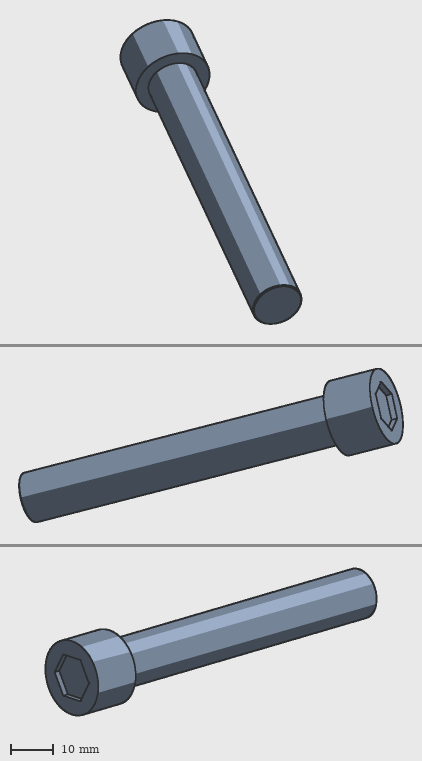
import cadquery as cq
import math

total_length = 92.0
head_diameter = 18.0
head_length = 12.0
shank_diameter = 12.0
tip_chamfer = 0.25

socket_across_flats = 10.1
socket_depth = 1.5
socket_across_corners = socket_across_flats / math.cos(math.pi / 6)

head_face_x = -total_length / 2


def make_head():
    return cq.Workplane("YZ", origin=(head_face_x, 0, 0)).circle(head_diameter / 2).extrude(head_length)


def make_shank():
    shank = cq.Workplane("YZ", origin=(head_face_x, 0, 0)).circle(shank_diameter / 2).extrude(total_length)
    return shank.faces(">X").chamfer(tip_chamfer)


def make_socket():
    return (
        cq.Workplane("YZ", origin=(head_face_x, 0, 0))
        .polygon(6, socket_across_corners)
        .extrude(socket_depth)
    )


result = make_head().union(make_shank()).cut(make_socket())